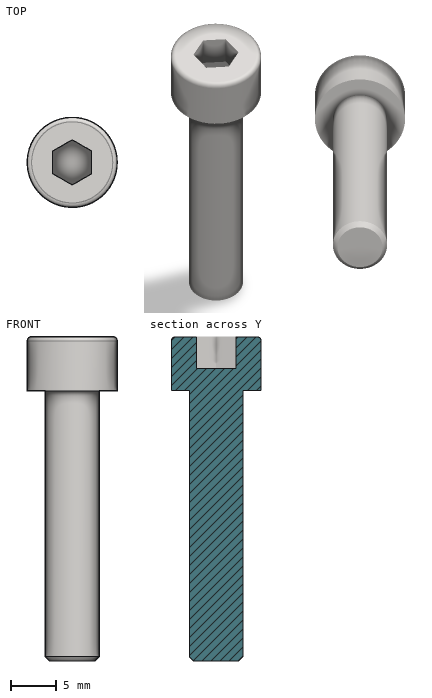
import cadquery as cq

total_length = 36.0
head_diameter = 10.0
head_height = 6.0
head_fillet = 0.5
shank_diameter = 6.0
tip_chamfer = 0.5
socket_corner_diameter = 5.0
socket_depth = 3.5
socket_rotation = 90.0

shank_length = total_length - head_height


def make_shank():
    shank = cq.Workplane("XY").circle(shank_diameter / 2).extrude(shank_length)
    return shank.faces("<Z").chamfer(tip_chamfer)


def make_head():
    head = cq.Workplane("XY", origin=(0, 0, shank_length)).circle(head_diameter / 2).extrude(head_height)
    return head.faces(">Z").edges().fillet(head_fillet)


def make_socket():
    return (
        cq.Workplane("XY", origin=(0, 0, total_length))
        .transformed(rotate=(0, 0, socket_rotation))
        .polygon(6, socket_corner_diameter)
        .extrude(-socket_depth)
    )


result = make_shank().union(make_head()).cut(make_socket())